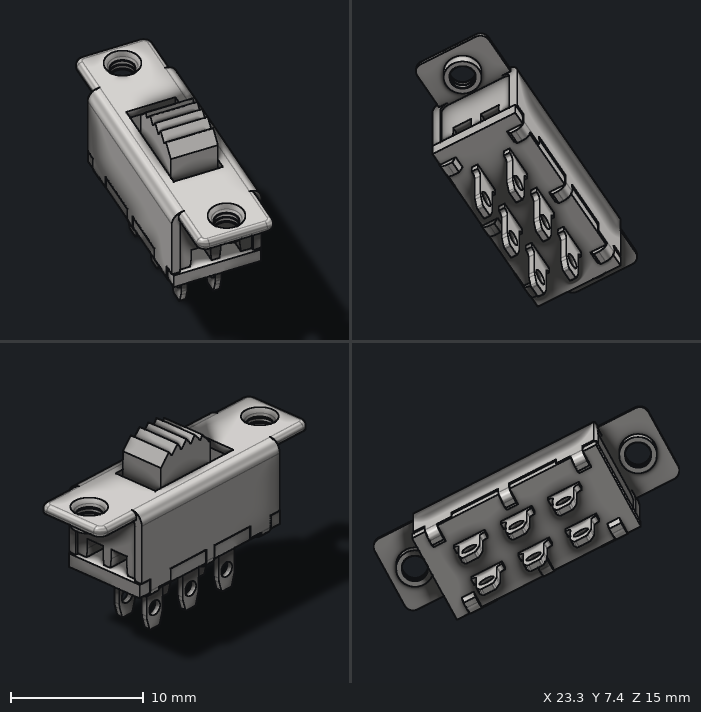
import cadquery as cq
import math


PLATE_LENGTH = 23.3
PLATE_WIDTH = 6.27
SHEET = 0.7
PLATE_CORNER_RADIUS = 0.75
PLATE_EDGE_RADIUS = 0.45
SLOT_LENGTH = 8.67
SLOT_WIDTH = 4.05

BOSS_SPACING = 19.0
BOSS_DIAMETER = 2.85
BOSS_BOTTOM = -1.54
THREAD_MAJOR_DIAMETER = 2.33
THREAD_MINOR_DIAMETER = 1.98
THREAD_PITCH = 0.42
THREAD_CREST = 0.1
THREAD_GROOVES = 2
COUNTERSINK_DEPTH = 0.35
FIRST_CREST_Z = -0.55

FRAME_LENGTH = 15.38
FRAME_WIDTH = 7.4
FRAME_BOTTOM = -6.0
FRAME_RADIUS = 1.0
FRAME_INNER_RADIUS = 0.6

TAB_BEND_RADIUS = 0.75
TAB_BOTTOM = -7.71
TAB_SHOULDER_BOTTOM = -7.08
TAB_TIP_Y = 2.55
TAB_TIP_TOP_Y = 2.24
MIDDLE_TAB_WIDTH = 0.93
END_TAB_OUTER_X = 6.7
END_TAB_WIDTH = 2.25
END_TAB_FOLD_WIDTH = 1.03

BODY_SETBACK = 0.19
BODY_BOTTOM = -5.96
NOTCH_TOP = -4.33
NOTCH_FLARE_TOP = -5.13
NOTCH_CENTER_Y = 1.2
NOTCH_TOP_WIDTH = 1.58
NOTCH_BOTTOM_WIDTH = 1.77

BASE_LENGTH = 15.65
BASE_WIDTH = 7.22
BASE_TOP = -6.05
BASE_BOTTOM = -7.22

TERMINAL_PITCH = 4.0
TERMINAL_ROW_SPACING = 2.8
TERMINAL_THICKNESS = 0.51
TERMINAL_BOTTOM = -12.02
SHOULDER_WIDTH = 2.63
SHOULDER_BOTTOM = -7.83
SHOULDER_FILLET = 0.4
BLADE_WIDTH = 1.77
TAPER_TOP = -10.9
TIP_WIDTH = 1.12
TAPER_BLEND_RADIUS = 1.4
TIP_CORNER_RADIUS = 0.19
TERMINAL_HOLE_DIAMETER = 1.2
TERMINAL_HOLE_Z = -10.32

SLIDER_LEFT = -1.86
SLIDER_RIGHT = 3.63
SLIDER_WIDTH = 3.9
SLIDER_SHOULDER_Z = 1.65
SLIDER_TEETH = [
    (-0.95, 2.65), (-0.77, 2.25), (-0.12, 2.98), (0.3, 2.38), (0.8, 2.98),
    (1.35, 2.33), (1.77, 2.98), (2.42, 2.25), (2.75, 2.65),
]


def box(length, width, bottom, top):
    """Block centred on X and Y between two heights."""
    return cq.Workplane("XY").workplane(offset=bottom).rect(length, width).extrude(top - bottom)


def x_prism(points, x_min, x_max):
    """Closed (Y, Z) outline extruded along X."""
    return cq.Workplane("YZ", origin=(x_min, 0, 0)).polyline(points).close().extrude(x_max - x_min)


def make_plate():
    plate = box(PLATE_LENGTH, PLATE_WIDTH, -SHEET, 0)
    plate = plate.edges("|Z").fillet(PLATE_CORNER_RADIUS)
    return plate.faces(">Z").edges().fillet(PLATE_EDGE_RADIUS)


def make_frame():
    inner_width = FRAME_WIDTH - 2 * SHEET
    shell = box(FRAME_LENGTH, FRAME_WIDTH, FRAME_BOTTOM, 0)
    shell = shell.faces(">Z").edges("|X").fillet(FRAME_RADIUS)
    cavity = box(FRAME_LENGTH, inner_width, FRAME_BOTTOM, -SHEET)
    cavity = cavity.faces(">Z").edges("|X").fillet(FRAME_INNER_RADIUS)
    return shell.cut(cavity)


def make_body():
    length = FRAME_LENGTH - 2 * BODY_SETBACK
    body = box(length, FRAME_WIDTH - 2 * SHEET, BODY_BOTTOM, -SHEET)
    body = body.faces(">Z").edges("|X").fillet(FRAME_INNER_RADIUS)
    for y in (-NOTCH_CENTER_Y, NOTCH_CENTER_Y):
        outline = [
            (y - NOTCH_BOTTOM_WIDTH / 2, BODY_BOTTOM),
            (y - NOTCH_TOP_WIDTH / 2, NOTCH_FLARE_TOP),
            (y - NOTCH_TOP_WIDTH / 2, NOTCH_TOP),
            (y + NOTCH_TOP_WIDTH / 2, NOTCH_TOP),
            (y + NOTCH_TOP_WIDTH / 2, NOTCH_FLARE_TOP),
            (y + NOTCH_BOTTOM_WIDTH / 2, BODY_BOTTOM),
        ]
        body = body.cut(x_prism(outline, -length / 2, length / 2))
    return body


def make_folded_tab(x_min, x_max):
    """Front (-Y) tab that bends inwards under the base."""
    outer_y = -FRAME_WIDTH / 2
    bend_y = outer_y + TAB_BEND_RADIUS
    bend_z = TAB_BOTTOM + TAB_BEND_RADIUS
    diagonal = TAB_BEND_RADIUS * math.sqrt(0.5)
    return (
        cq.Workplane("YZ", origin=(x_min, 0, 0))
        .moveTo(outer_y, FRAME_BOTTOM)
        .lineTo(outer_y, bend_z)
        .threePointArc((bend_y - diagonal, bend_z - diagonal), (bend_y, TAB_BOTTOM))
        .lineTo(-TAB_TIP_Y, TAB_BOTTOM)
        .lineTo(-TAB_TIP_TOP_Y, BASE_BOTTOM)
        .lineTo(-TAB_TIP_TOP_Y, FRAME_BOTTOM - SHEET)
        .lineTo(outer_y + SHEET, FRAME_BOTTOM)
        .close()
        .extrude(x_max - x_min)
    )


def make_tabs():
    """Middle tab and two stepped end tabs, on both long sides."""
    fold_inner_x = END_TAB_OUTER_X - END_TAB_FOLD_WIDTH
    end_inner_x = END_TAB_OUTER_X - END_TAB_WIDTH
    shoulder_limit = box(FRAME_LENGTH, FRAME_WIDTH, TAB_SHOULDER_BOTTOM, FRAME_BOTTOM)
    end_tab = make_folded_tab(fold_inner_x, END_TAB_OUTER_X)
    shoulder = make_folded_tab(end_inner_x, fold_inner_x).intersect(shoulder_limit)
    end_tab = end_tab.union(shoulder)
    tabs = make_folded_tab(-MIDDLE_TAB_WIDTH / 2, MIDDLE_TAB_WIDTH / 2)
    tabs = tabs.union(end_tab).union(end_tab.mirror("YZ"))
    return tabs.union(tabs.mirror("XZ"))


def make_terminal(x, y):
    half_blade = BLADE_WIDTH / 2
    fillet_center_x = half_blade + SHOULDER_FILLET
    fillet_end_z = SHOULDER_BOTTOM - SHOULDER_FILLET
    fillet_offset = SHOULDER_FILLET * math.sqrt(0.5)
    half = (
        cq.Workplane("XZ", origin=(0, TERMINAL_THICKNESS / 2, 0))
        .moveTo(0, BASE_TOP)
        .lineTo(SHOULDER_WIDTH / 2, BASE_TOP)
        .lineTo(SHOULDER_WIDTH / 2, SHOULDER_BOTTOM)
        .lineTo(fillet_center_x, SHOULDER_BOTTOM)
        .threePointArc(
            (fillet_center_x - fillet_offset, fillet_end_z + fillet_offset),
            (half_blade, fillet_end_z),
        )
        .lineTo(half_blade, TAPER_TOP)
        .lineTo(TIP_WIDTH / 2, TERMINAL_BOTTOM)
        .lineTo(0, TERMINAL_BOTTOM)
        .close()
        .extrude(TERMINAL_THICKNESS)
    )
    taper_start = cq.NearestToPointSelector((half_blade, 0, TAPER_TOP))
    tip_corner = cq.NearestToPointSelector((TIP_WIDTH / 2, 0, TERMINAL_BOTTOM))
    half = half.edges("|Y").edges(taper_start).fillet(TAPER_BLEND_RADIUS)
    half = half.edges("|Y").edges(tip_corner).fillet(TIP_CORNER_RADIUS)
    hole = (
        cq.Workplane("XZ", origin=(0, TERMINAL_THICKNESS / 2, TERMINAL_HOLE_Z))
        .circle(TERMINAL_HOLE_DIAMETER / 2)
        .extrude(TERMINAL_THICKNESS)
    )
    return half.union(half.mirror("YZ")).cut(hole).translate((x, y, 0))


def make_slider():
    outline = [
        (SLIDER_LEFT, -SHEET),
        (SLIDER_LEFT, SLIDER_SHOULDER_Z),
        *SLIDER_TEETH,
        (SLIDER_RIGHT, SLIDER_SHOULDER_Z),
        (SLIDER_RIGHT, -SHEET),
    ]
    return cq.Workplane("XZ").polyline(outline).close().extrude(SLIDER_WIDTH / 2, both=True)


def make_boss(x):
    return (
        cq.Workplane("XY", origin=(x, 0, BOSS_BOTTOM))
        .circle(BOSS_DIAMETER / 2)
        .extrude(-SHEET - BOSS_BOTTOM)
    )


def make_threaded_hole(x):
    """Countersink above a bore with ring-shaped V grooves standing in for the thread."""
    major = THREAD_MAJOR_DIAMETER / 2
    minor = THREAD_MINOR_DIAMETER / 2
    points = [(0, 0), (BOSS_DIAMETER / 2, 0), (major, -COUNTERSINK_DEPTH), (minor, FIRST_CREST_Z)]
    for turn in range(THREAD_GROOVES):
        crest_bottom = FIRST_CREST_Z - turn * THREAD_PITCH - THREAD_CREST
        next_crest = crest_bottom + THREAD_CREST - THREAD_PITCH
        points.append((minor, crest_bottom))
        points.append((major, (crest_bottom + next_crest) / 2))
        points.append((minor, next_crest))
    points += [(minor, BOSS_BOTTOM), (0, BOSS_BOTTOM)]
    profile = cq.Workplane("XZ").polyline(points).close()
    return profile.revolve(360, (0, 0, 0), (0, 1, 0)).translate((x, 0, 0))


result = make_plate().union(make_frame())
result = result.cut(box(SLOT_LENGTH, SLOT_WIDTH, -SHEET, 0))
result = result.union(make_body())
result = result.union(box(BASE_LENGTH, BASE_WIDTH, BASE_BOTTOM, BASE_TOP))
result = result.union(make_tabs())
result = result.union(make_slider())

for column in (-1, 0, 1):
    for row in (-1, 1):
        result = result.union(make_terminal(column * TERMINAL_PITCH, row * TERMINAL_ROW_SPACING / 2))

for side in (-1, 1):
    boss_x = side * BOSS_SPACING / 2
    result = result.union(make_boss(boss_x)).cut(make_threaded_hole(boss_x))